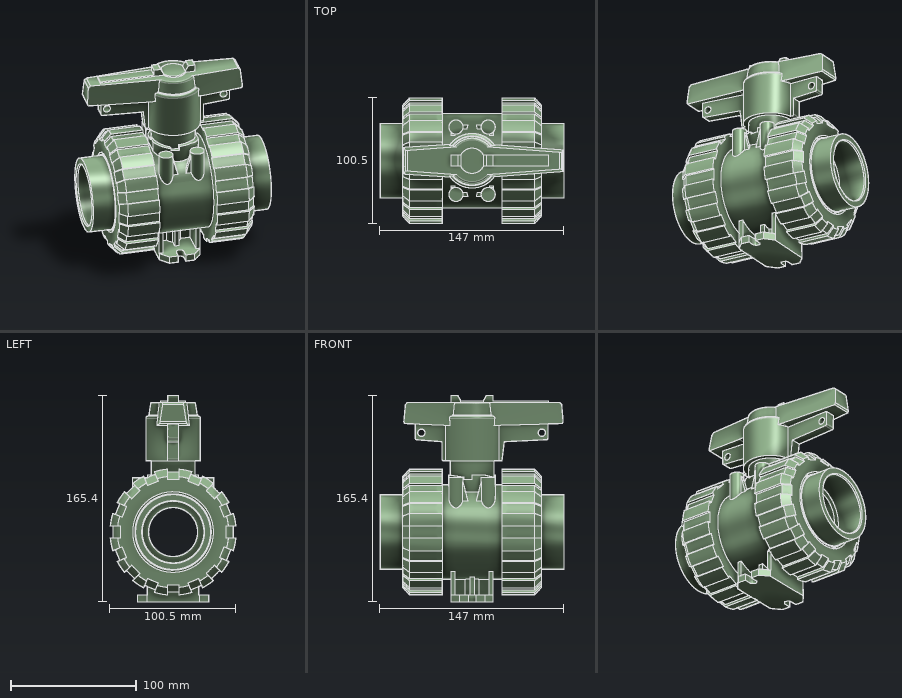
import cadquery as cq
import math


bore_radius = 19.5
overall_length = 147.0
overall_height = 165.4
pipe_end = overall_length / 2

nut_inner_end = 23.8
nut_outer_end = 55.5
nut_across_ribs = 100.5
nut_chamfer_length = 5.6
nut_chamfer_depth = 6.0
nut_slot_count = 16
nut_slot_width = 9.3
nut_slot_floor = 48.1
nut_lip_radius = 32.2
nut_lip_thickness = 9.3
nut_radius = math.hypot(nut_across_ribs / 2, nut_slot_width / 2)

pipe_radius = 30.0
pipe_root_radius = 30.6
socket_radius = 24.6
socket_mouth_flare = 0.5
socket_mouth_depth = 1.3
socket_end = 49.6
flange_thickness = 6.6
flange_outer_end = nut_outer_end - nut_lip_thickness
flange_inner_end = flange_outer_end - flange_thickness

barrel_radius = 37.9
spigot_radius = 34.7

neck_radius = 17.5
neck_top = 56.9
collar_radius = 20.5
collar_half_width = 18.7
collar_top = 45.6
collar_notch_floor = 42.2
collar_notch_width = 6.6
collar_notch_ramp_end = 43.8
collar_fall_start = 10.0
collar_fall_end = 43.3

boss_radius = 5.6
boss_x = 12.9
boss_y = 27.0
boss_top = 43.5
gusset_thickness = 3.1
gusset_top = 40.2
gusset_bottom = 24.8
gusset_reach = 9.6
side_gusset_reach = 7.8
side_gusset_offset = 2.5

foot_bottom = -56.0
foot_thickness = 5.8
foot_half_width = 16.9
foot_half_depth = 28.6
foot_corner_x = 6.6
foot_corner_y = 7.6
foot_slot_width = 6.1
foot_slot_straight = 6.1
foot_rib_thickness = 3.3
foot_rib_half_depth = 20.7
foot_web_thickness = 3.3
foot_column_radius = 6.0
foot_middle_rib_thickness = 3.6
foot_middle_rib_half_depth = 12.4
foot_top = foot_bottom + foot_thickness

hub_radius = 21.8
hub_shoulder = 92.8
hub_shoulder_round = 1.8
hub_lip_radius = 19.8
hub_lip_height = 0.7
hub_cone_base_radius = 19.5
hub_cone_top_radius = 17.9
hub_top = 103.7
hub_top_round = 1.3

arm_bottom = 85.3
arm_tip_bottom = 86.7
arm_left_bottom = -54.9
arm_left_top = -53.2
arm_right_bottom = 73.1
arm_right_top = 71.6
arm_root_half_bottom = 14.0
arm_root_half_top = 12.0
arm_left_half_bottom = 10.9
arm_left_half_top = 8.1
arm_right_half_bottom = 8.8
arm_right_half_top = 6.6
arm_tip_bevel = 1.7
arm_lower_bevel_x = 0.8
arm_lower_bevel_z = 2.5

web_thickness = 9.0
web_left = -45.5
web_right = 60.7
web_tip_bottom = 73.8
web_step_z = 72.1
web_root_left = -24.1
web_root_right = 24.0
web_root_right_top = 25.8
web_corner_round = 1.3
web_hole_radius = 2.8
web_hole_inset = 5.0
web_hole_z = 79.4

raised_top = 104.8
disc_radius = 10.1
strip_width = 8.8
strip_end = 61.2
lug_top = foot_bottom + overall_height
lug_outer = 16.9
lug_inner_bottom = 9.0
lug_inner_top = 11.4


def revolved_about_x(profile):
    """Turn a closed (x, radius) outline around the flow axis."""
    return cq.Workplane("XY").polyline(profile).close().revolve(360, (0, 0, 0), (1, 0, 0))


def x_cylinder(radius, start, end):
    return cq.Workplane("YZ").workplane(offset=start).circle(radius).extrude(end - start)


def z_cylinder(radius, bottom, top):
    return cq.Workplane("XY").workplane(offset=bottom).circle(radius).extrude(top - bottom)


def block(x_size, y_size, bottom, top):
    return cq.Workplane("XY").workplane(offset=bottom).rect(x_size, y_size).extrude(top - bottom)


def plate_along_x(outline, thickness):
    """Extrude an (x, z) outline to a plate centred on Y = 0."""
    return cq.Workplane("XZ").polyline(outline).close().extrude(thickness / 2, both=True)


def collar():
    """Stop collar with two flats; notches and ramps repeat after half a turn about Z."""
    ring = z_cylinder(collar_radius, 0, collar_top)
    flats = block(2 * collar_half_width, 2 * collar_radius, 0, collar_top)
    ring = ring.intersect(flats)
    notch = [
        (-collar_half_width, collar_top),
        (-collar_notch_width, collar_notch_ramp_end),
        (-collar_notch_width, collar_notch_floor),
        (0, collar_notch_floor),
        (0, collar_top),
    ]
    fall = [
        (collar_fall_start, collar_top),
        (collar_half_width, collar_fall_end),
        (collar_half_width, collar_top),
    ]
    for outline in (notch, fall):
        cutter = cq.Workplane("XZ").polyline(outline).close().extrude(collar_radius)
        ring = ring.cut(cutter)
        ring = ring.cut(cutter.rotate((0, 0, 0), (0, 0, 1), 180))
    return ring


def gusset(reach):
    """Triangular gusset on the Z axis, leaning out toward +X."""
    outline = [(0, 0), (reach, 0), (reach, gusset_bottom), (boss_radius, gusset_top), (0, gusset_top)]
    return plate_along_x(outline, gusset_thickness)


def boss():
    """Round boss with its two gussets, placed in the -X, -Y quadrant."""
    post = z_cylinder(boss_radius, 0, boss_top).union(gusset(gusset_reach))
    side = gusset(side_gusset_reach).rotate((0, 0, 0), (0, 0, 1), 90)
    post = post.union(side.translate((-side_gusset_offset, 0, 0)))
    return post.translate((-boss_x, -boss_y, 0))


def foot():
    """Slotted mounting plate on a ribbed pedestal below the barrel."""
    width = 2 * foot_half_width
    plate = block(width, 2 * foot_half_depth, foot_bottom, foot_top)
    for sx in (-1, 1):
        for sy in (-1, 1):
            corner = [
                (sx * foot_half_width, sy * foot_half_depth),
                (sx * (foot_half_width - foot_corner_x), sy * foot_half_depth),
                (sx * foot_half_width, sy * (foot_half_depth - foot_corner_y)),
            ]
            cutter = cq.Workplane("XY").workplane(offset=foot_bottom).polyline(corner).close()
            plate = plate.cut(cutter.extrude(foot_thickness))
    for sy in (-1, 1):
        slot_end = foot_half_depth - foot_slot_straight
        slot = block(foot_slot_width, 2 * foot_slot_straight, foot_bottom, foot_top)
        plate = plate.cut(slot.translate((0, sy * foot_half_depth, 0)))
        round_end = z_cylinder(foot_slot_width / 2, foot_bottom, foot_top)
        plate = plate.cut(round_end.translate((0, sy * slot_end, 0)))
    pedestal = block(width, foot_web_thickness, foot_top, 0)
    pedestal = pedestal.union(z_cylinder(foot_column_radius, foot_top, 0))
    pedestal = pedestal.union(
        block(foot_middle_rib_thickness, 2 * foot_middle_rib_half_depth, foot_top, 0)
    )
    end_rib = block(foot_rib_thickness, 2 * foot_rib_half_depth, foot_top, 0)
    for sx in (-1, 1):
        rib_x = sx * (foot_half_width - foot_rib_thickness / 2)
        pedestal = pedestal.union(end_rib.translate((rib_x, 0, 0)))
    return plate.union(pedestal)


def make_housing():
    body = x_cylinder(barrel_radius, -nut_inner_end, nut_inner_end)
    body = body.union(x_cylinder(spigot_radius, -flange_inner_end, flange_inner_end))
    body = body.union(z_cylinder(neck_radius, 0, neck_top))
    body = body.union(collar())
    front_left = boss()
    front_right = front_left.mirror("YZ")
    for post in (front_left, front_right):
        body = body.union(post).union(post.mirror("XZ"))
    body = body.union(foot())
    return body.cut(x_cylinder(bore_radius, -pipe_end, pipe_end))


def nut_slot():
    """Cutter for one flat-floored slot on top of the nut, following the end chamfer."""
    chamfer_start = nut_outer_end - nut_chamfer_length
    outline = [
        (nut_inner_end, nut_slot_floor),
        (chamfer_start, nut_slot_floor),
        (nut_outer_end, nut_slot_floor - nut_chamfer_depth),
        (nut_outer_end, nut_radius + 1.7),
        (nut_inner_end, nut_radius + 1.7),
    ]
    return plate_along_x(outline, nut_slot_width)


def make_nut():
    """Union nut on the +X side."""
    nut = revolved_about_x([
        (nut_inner_end, spigot_radius),
        (nut_inner_end, nut_radius),
        (nut_outer_end - nut_chamfer_length, nut_radius),
        (nut_outer_end, nut_radius - nut_chamfer_depth),
        (nut_outer_end, nut_lip_radius),
        (flange_outer_end, nut_lip_radius),
        (flange_outer_end, spigot_radius),
    ])
    slot = nut_slot()
    for index in range(nut_slot_count):
        nut = nut.cut(slot.rotate((0, 0, 0), (1, 0, 0), index * 360 / nut_slot_count))
    return nut


def make_connector():
    """Socket connector on the +X side, held by its flange inside the nut."""
    return revolved_about_x([
        (flange_inner_end, bore_radius),
        (flange_inner_end, spigot_radius),
        (flange_outer_end, spigot_radius),
        (flange_outer_end, pipe_root_radius),
        (nut_outer_end, pipe_root_radius),
        (nut_outer_end, pipe_radius),
        (pipe_end, pipe_radius),
        (pipe_end, socket_radius + socket_mouth_flare),
        (pipe_end - socket_mouth_depth, socket_radius),
        (socket_end, socket_radius),
        (socket_end, bore_radius),
    ])


def hub():
    barrel = z_cylinder(hub_radius, neck_top, hub_shoulder).faces(">Z").edges().fillet(hub_shoulder_round)
    cone = (
        cq.Workplane("XY").workplane(offset=hub_shoulder).circle(hub_cone_base_radius)
        .workplane(offset=hub_top - hub_shoulder).circle(hub_cone_top_radius).loft(combine=True)
        .faces(">Z").edges().fillet(hub_top_round)
    )
    lip = z_cylinder(hub_lip_radius, hub_shoulder, hub_shoulder + hub_lip_height)
    return barrel.union(lip).union(cone)


def arm_plan(left, left_half, root_half, right, right_half):
    return [
        (left, -left_half),
        (0, -root_half),
        (right, -right_half),
        (right, right_half),
        (0, root_half),
        (left, left_half),
    ]


def arms():
    """Tapered grip: a drafted plan shape trimmed to its side outline."""
    lower = arm_plan(
        arm_left_bottom, arm_left_half_bottom, arm_root_half_bottom, arm_right_bottom, arm_right_half_bottom
    )
    upper = arm_plan(arm_left_top, arm_left_half_top, arm_root_half_top, arm_right_top, arm_right_half_top)
    grip = (
        cq.Workplane("XY").workplane(offset=arm_bottom).polyline(lower).close()
        .workplane(offset=hub_top - arm_bottom).polyline(upper).close().loft(ruled=True)
    )
    side = [
        (arm_left_bottom + arm_lower_bevel_x, arm_tip_bottom),
        (-hub_radius, arm_bottom),
        (hub_radius, arm_bottom),
        (arm_right_bottom - arm_lower_bevel_x, arm_tip_bottom),
        (arm_right_bottom, arm_tip_bottom + arm_lower_bevel_z),
        (arm_right_bottom, hub_top - arm_tip_bevel),
        (arm_right_top, hub_top - arm_tip_bevel),
        (arm_right_top - arm_tip_bevel, hub_top),
        (arm_left_top + arm_tip_bevel, hub_top),
        (arm_left_top, hub_top - arm_tip_bevel),
        (arm_left_bottom, hub_top - arm_tip_bevel),
        (arm_left_bottom, arm_tip_bottom + arm_lower_bevel_z),
    ]
    return grip.intersect(plate_along_x(side, 2 * hub_radius))


def web():
    """Stiffening web under both arms, with a hole near each tip."""
    outline = [
        (web_left, arm_tip_bottom),
        (web_left, web_tip_bottom),
        (web_root_left, web_step_z),
        (web_root_left, neck_top),
        (web_root_right, neck_top),
        (web_root_right_top, web_step_z),
        (web_right, web_tip_bottom),
        (web_right, arm_tip_bottom),
    ]
    plate = plate_along_x(outline, web_thickness)
    rounded_corners = [(web_left, web_tip_bottom), (web_root_left, neck_top), (web_right, web_tip_bottom)]
    for x, z in rounded_corners:
        corner = cq.selectors.NearestToPointSelector((x, 0, z))
        plate = plate.edges("|Y").edges(corner).fillet(web_corner_round)
    for hole_x in (web_left + web_hole_inset, web_right - web_hole_inset):
        hole = (
            cq.Workplane("XZ").center(hole_x, web_hole_z).circle(web_hole_radius)
            .extrude(web_thickness, both=True)
        )
        plate = plate.cut(hole)
    return plate


def lug():
    """Pointer lug on the +X side of the disc, its inner face leaning outward."""
    return plate_along_x(
        [
            (lug_inner_bottom, hub_top),
            (lug_inner_bottom, raised_top),
            (lug_inner_top, lug_top),
            (lug_outer, lug_top),
            (lug_outer, hub_top),
        ],
        strip_width,
    )


def make_handle():
    strip = block(strip_end, strip_width, hub_top, raised_top).translate((strip_end / 2, 0, 0))
    body = hub().union(arms()).union(web())
    body = body.union(z_cylinder(disc_radius, hub_top, raised_top)).union(strip)
    return body.union(lug()).union(lug().mirror("YZ"))


housing = make_housing()
handle = make_handle()
right_nut = make_nut()
right_connector = make_connector()
nuts = []
connectors = []
for turn in (0, 180):
    nuts.append(right_nut.rotate((0, 0, 0), (0, 0, 1), turn).val())
    connectors.append(right_connector.rotate((0, 0, 0), (0, 0, 1), turn).val())

result = cq.Compound.makeCompound([housing.val(), handle.val(), *nuts, *connectors])